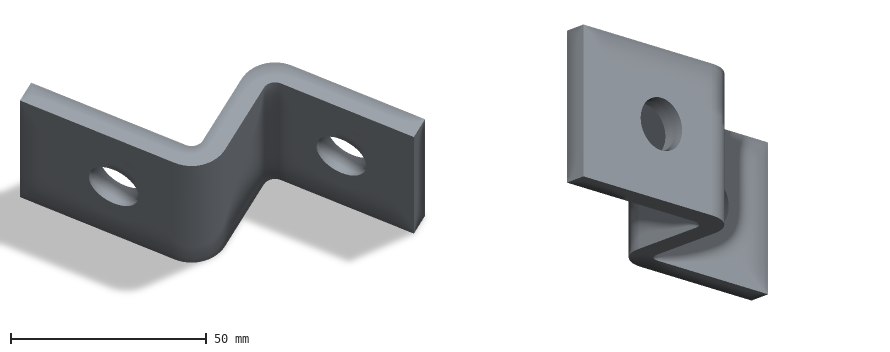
import cadquery as cq

length = 95.2
depth = 41.2
height = 41.2

thickness = 6.4
inner_radius = 3.2
outer_radius = inner_radius + thickness
web_right = 53.9
web_left = web_right - thickness

hole_diameter = 14.3
front_hole_x = 26.85
hole_spacing = 47.6


def bent_strip():
    """Z-shaped profile in the XY plane, extruded upward, with concentric bends."""
    strip = (
        cq.Workplane("XY")
        .moveTo(0, 0)
        .lineTo(web_right, 0)
        .lineTo(web_right, depth - thickness)
        .lineTo(length, depth - thickness)
        .lineTo(length, depth)
        .lineTo(web_left, depth)
        .lineTo(web_left, thickness)
        .lineTo(0, thickness)
        .close()
        .extrude(height)
    )
    outer_corners = [(web_right, 0), (web_left, depth)]
    inner_corners = [(web_left, thickness), (web_right, depth - thickness)]
    for corners, radius in ((outer_corners, outer_radius), (inner_corners, inner_radius)):
        for x, y in corners:
            edge = cq.selectors.NearestToPointSelector((x, y, height / 2))
            strip = strip.edges("|Z").edges(edge).fillet(radius)
    return strip


def bolt_holes():
    """Cutters along Y, long enough to pass through both flange planes."""
    return (
        cq.Workplane("XZ")
        .pushPoints([(front_hole_x + i * hole_spacing, height / 2) for i in range(2)])
        .circle(hole_diameter / 2)
        .extrude(-depth)
    )


result = bent_strip().cut(bolt_holes())